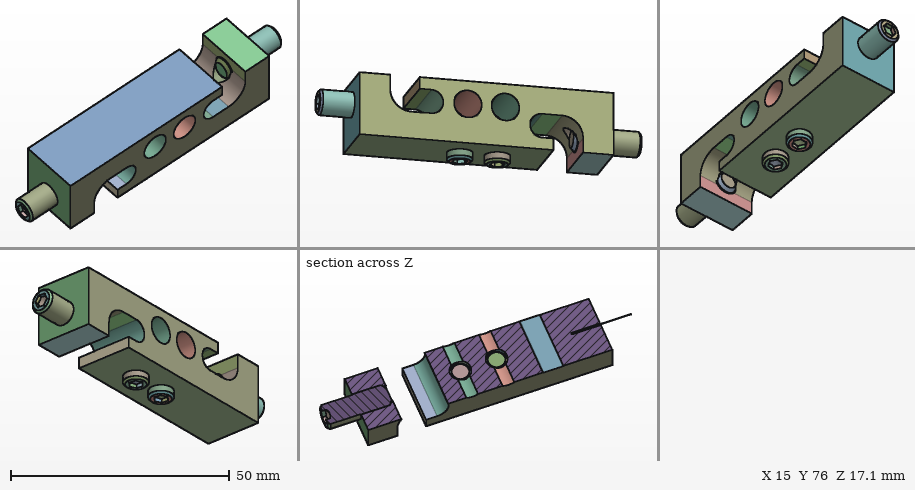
import cadquery as cq
import math

LENGTH = 60.05
SIDE = 15.0

WALL = 7.2
MOUTH = 7.0
LIP = 2.8
SLOT_HEIGHT = 5.7
SLOT_REACH = 19.75
CORNER_RADIUS = 5.0

CROSS_DIAMETER = 6.5
CROSS_SPACING = 8.9
CROSS_DEPTH = 5.55
CROSS_Z = SIDE / 2 - CROSS_DEPTH

SCREW_DIAMETER = 6.0
TAP_DIAMETER = 4.95
HEAD_CHAMFER = 0.5
TIP_CHAMFER = 1.0
HEX_FLATS = 3.05
HEX_DEPTH = 0.9
SOCKET_CONE_ANGLE = 120.0
HEX_TURN = 5.0
END_SCREW_LENGTH = 16.0
OVERALL_LENGTH = 76.0
END_PROTRUSION = (OVERALL_LENGTH - LENGTH) / 2
END_SCREW_Z = 2.0
LOWER_SCREW_LENGTH = 8.0
LOWER_PROTRUSION = 2.05

END_Y = LENGTH / 2
TOP = SIDE / 2


def upper_slot():
    """Upward-opening slot, cut across the full width."""
    wall_y = END_Y - WALL
    lip_y = wall_y - MOUTH
    ceiling = TOP - LIP
    floor = ceiling - SLOT_HEIGHT
    end_radius = SLOT_HEIGHT / 2
    end_y = END_Y - SLOT_REACH
    diagonal = CORNER_RADIUS * math.sqrt(0.5)
    corner_y = wall_y - CORNER_RADIUS
    corner_z = floor + CORNER_RADIUS
    return (
        cq.Workplane("YZ")
        .moveTo(wall_y, TOP)
        .lineTo(lip_y, TOP)
        .lineTo(lip_y, ceiling)
        .lineTo(end_y + end_radius, ceiling)
        .threePointArc((end_y, ceiling - end_radius), (end_y + end_radius, floor))
        .lineTo(corner_y, floor)
        .threePointArc((corner_y + diagonal, corner_z - diagonal), (wall_y, corner_z))
        .close()
        .extrude(SIDE / 2, both=True)
    )


def screw_envelope(length):
    """Screw outline without its socket: head end at Z = 0, tip toward +Z."""
    return (
        cq.Workplane("XY")
        .circle(SCREW_DIAMETER / 2)
        .extrude(length)
        .faces("<Z")
        .chamfer(HEAD_CHAMFER)
        .faces(">Z")
        .chamfer(TIP_CHAMFER)
    )


def hex_socket():
    """Hexagonal socket with a conical bottom that starts at the hexagon corners."""
    corner_radius = HEX_FLATS / 2 / math.cos(math.pi / 6)
    cone_depth = corner_radius / math.tan(math.radians(SOCKET_CONE_ANGLE / 2))
    hexagon = cq.Workplane("XY").polygon(6, 2 * corner_radius).extrude(HEX_DEPTH + cone_depth)
    drill = (
        cq.Workplane("XZ")
        .lineTo(corner_radius, 0)
        .lineTo(corner_radius, HEX_DEPTH)
        .lineTo(0, HEX_DEPTH + cone_depth)
        .close()
        .revolve(360, (0, 0, 0), (0, 1, 0))
    )
    return hexagon.intersect(drill).rotate((0, 0, 0), (0, 0, 1), HEX_TURN)


def set_screw(length):
    return screw_envelope(length).cut(hex_socket())


def tap_bore(depth):
    return cq.Workplane("XY").circle(TAP_DIAMETER / 2).extrude(depth)


def place_front(shape):
    """Point the tip toward +Y from the -Y end of the block."""
    return shape.rotate((0, 0, 0), (1, 0, 0), -90).translate((0, -END_Y - END_PROTRUSION, -END_SCREW_Z))


def end_positions(shape):
    """The -Y placement and its half-turn copy at the +Y end."""
    front = place_front(shape)
    return [front, front.rotate((0, 0, 0), (1, 0, 0), 180)]


def lower_positions(shape):
    """Upward-pointing placements, one below each cross hole."""
    return [
        shape.translate((0, side * CROSS_SPACING / 2, -TOP - LOWER_PROTRUSION))
        for side in (-1, 1)
    ]


def make_block():
    block = cq.Workplane("XY").box(SIDE, LENGTH, SIDE)
    slot = upper_slot()
    block = block.cut(slot).cut(slot.rotate((0, 0, 0), (1, 0, 0), 180))

    cross_holes = (
        cq.Workplane("YZ", origin=(0, 0, CROSS_Z))
        .pushPoints([(-CROSS_SPACING / 2, 0), (CROSS_SPACING / 2, 0)])
        .circle(CROSS_DIAMETER / 2)
        .extrude(SIDE / 2, both=True)
    )
    block = block.cut(cross_holes)

    end_bore = tap_bore(END_PROTRUSION + WALL + CORNER_RADIUS)
    lower_bore = tap_bore(LOWER_PROTRUSION + TOP + CROSS_Z)
    seats = [
        *end_positions(end_bore),
        *end_positions(screw_envelope(END_SCREW_LENGTH)),
        *lower_positions(lower_bore),
        *lower_positions(screw_envelope(LOWER_SCREW_LENGTH)),
    ]
    for seat in seats:
        block = block.cut(seat)
    return block


block = make_block()
end_screws = end_positions(set_screw(END_SCREW_LENGTH))
lower_screws = lower_positions(set_screw(LOWER_SCREW_LENGTH))

result = cq.Compound.makeCompound(
    [block.val()] + [screw.val() for screw in end_screws + lower_screws]
)